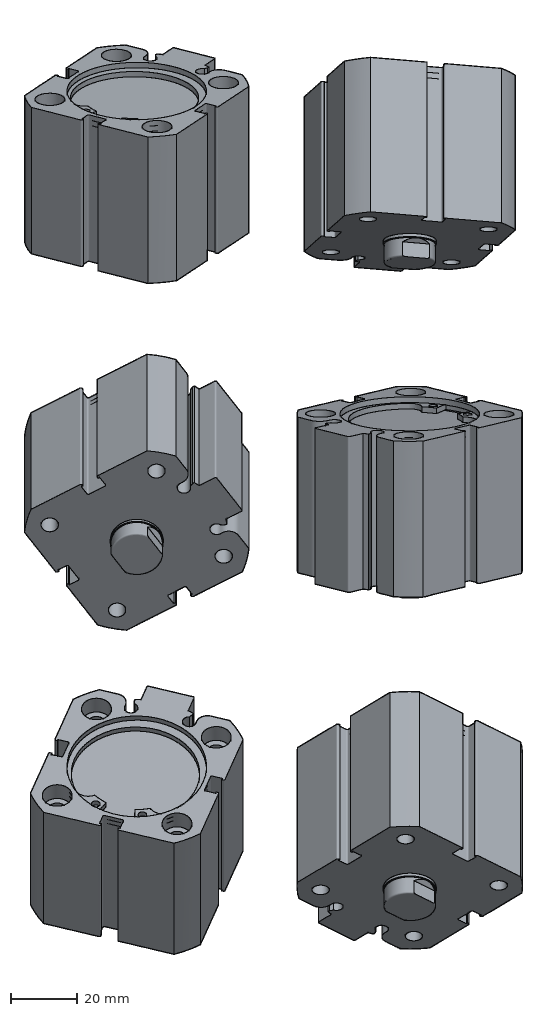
import cadquery as cq
import math

BODY_WIDTH = 54.0
BODY_LENGTH = 48.5
CORNER_RADIUS = 34.0
HALF_WIDTH = BODY_WIDTH / 2

HOLE_SPACING = 38.05
HOLE_DIAMETER = 5.2
COUNTERBORE_DIAMETER = 9.0
COUNTERBORE_DEPTH = 6.0

SLOT_DEPTH = 4.5
SLOT_WIDTH = 6.55
SLOT_OPENING = 5.4
SLOT_LIP = 0.9
LIP_RADIUS = 0.5
SLOT_FLOOR_RADIUS = 0.5

RAIL_TOP = 33.0
RAIL_WIDTH = 15.0
RAIL_EDGE_RADIUS = 0.5
SHOULDER_DROP = 0.6
SHOULDER_TIP_X = 9.25
SHOULDER_TIP_HEIGHT = 0.65
CHANNEL_LIP_X = 8.7
CHANNEL_RADIUS = 2.05
CHANNEL_X = 9.25
CHANNEL_Y = 22.7
CHANNEL_ENTRY_RADIUS = 3.5

BORE_RADIUS = 21.05
RING_RECESS = 1.8
RING_THICKNESS = 1.75
RING_OUTER_RADIUS = 22.25
RING_INNER_RADIUS = 19.4
RING_OFFSET = -1.25
COVER_THICKNESS = 6.0
LUG_INNER_RADIUS = 16.3
LUG_GAP_ANGLE = 16.2
LUG_TIP_ANGLE = 32.8
LUG_HOLE_RADIUS = 18.65
LUG_HOLE_ANGLE = 23.4
LUG_HOLE_DIAMETER = 2.6
LUG_RELIEF_END_X = 14.5
LUG_RELIEF_X = 11.9
LUG_RELIEF_Y = -15.0

ROD_DIAMETER = 16.0
ROD_END_DIAMETER = 15.55
ROD_PROTRUSION = 7.0
ROD_COLLAR = 0.95
ROD_END_RADIUS = 0.5
FLATS_WIDTH = 13.0
FLATS_START = 2.45

RING_TOP_Z = BODY_LENGTH - RING_RECESS
RING_BOTTOM_Z = RING_TOP_Z - RING_THICKNESS
COVER_BOTTOM_Z = RING_BOTTOM_Z - COVER_THICKNESS


def polar_from_minus_y(radius, angle):
    """Point at a radius from the axis and an angle in degrees from -Y towards +X."""
    turn = math.radians(angle)
    return (radius * math.sin(turn), -radius * math.cos(turn))


def disc(radius, bottom, top):
    return cq.Workplane("XY").workplane(offset=bottom).circle(radius).extrude(top - bottom)


def make_t_slot(angle):
    """T-slot cutter for the side reached by turning the -Y side by the angle."""
    lip = cq.Workplane("XY").rect(SLOT_OPENING, 2 * SLOT_DEPTH).extrude(BODY_LENGTH)
    mouth_width = SLOT_OPENING + 2 * LIP_RADIUS
    mouth = cq.Workplane("XY").rect(mouth_width, 2 * LIP_RADIUS).extrude(BODY_LENGTH)
    lip_centers = [(-mouth_width / 2, LIP_RADIUS), (mouth_width / 2, LIP_RADIUS)]
    rounds = cq.Workplane("XY").pushPoints(lip_centers).circle(LIP_RADIUS).extrude(BODY_LENGTH)
    pocket_depth = SLOT_DEPTH - SLOT_LIP
    pocket = (
        cq.Workplane("XY")
        .center(0, SLOT_LIP + pocket_depth / 2)
        .rect(SLOT_WIDTH, pocket_depth)
        .extrude(BODY_LENGTH)
        .edges("|Z and >Y")
        .fillet(SLOT_FLOOR_RADIUS)
    )
    slot = lip.union(mouth.cut(rounds)).union(pocket)
    return slot.translate((0, -HALF_WIDTH, 0)).rotate((0, 0, 0), (0, 0, 1), angle)


def make_channel():
    """Cutter for the space beside the rail on the +X side, with its round sensor channel."""
    outer_x = CHANNEL_X + CHANNEL_RADIUS
    tip_y = HALF_WIDTH - SHOULDER_DROP
    lip_y = CHANNEL_Y + math.sqrt(CHANNEL_RADIUS**2 - (CHANNEL_X - CHANNEL_LIP_X) ** 2)
    entry_y = HALF_WIDTH - CHANNEL_ENTRY_RADIUS
    entry_mid = CHANNEL_ENTRY_RADIUS * (1 - math.sqrt(0.5))
    return (
        cq.Workplane("XY")
        .moveTo(RAIL_WIDTH / 2, HALF_WIDTH)
        .lineTo(SHOULDER_TIP_X, tip_y)
        .lineTo(SHOULDER_TIP_X, tip_y - SHOULDER_TIP_HEIGHT)
        .lineTo(CHANNEL_LIP_X, lip_y)
        .threePointArc((CHANNEL_X, CHANNEL_Y - CHANNEL_RADIUS), (outer_x, CHANNEL_Y))
        .lineTo(outer_x, entry_y)
        .threePointArc(
            (outer_x + entry_mid, HALF_WIDTH - entry_mid),
            (outer_x + CHANNEL_ENTRY_RADIUS, HALF_WIDTH),
        )
        .close()
        .extrude(BODY_LENGTH)
    )


def make_housing():
    body = cq.Workplane("XY").rect(BODY_WIDTH, BODY_WIDTH).extrude(BODY_LENGTH)
    body = body.intersect(disc(CORNER_RADIUS, 0, BODY_LENGTH))

    rail = (
        cq.Workplane("XY")
        .center(0, RAIL_TOP / 2)
        .rect(RAIL_WIDTH, RAIL_TOP)
        .extrude(BODY_LENGTH)
        .edges("|Z and >Y")
        .fillet(RAIL_EDGE_RADIUS)
    )
    body = body.union(rail)
    channel = make_channel()
    body = body.cut(channel).cut(channel.mirror("YZ"))

    for angle in (-90, 0, 90):
        body = body.cut(make_t_slot(angle))

    body = (
        body.faces(">Z")
        .workplane(origin=(0, 0, BODY_LENGTH))
        .rect(HOLE_SPACING, HOLE_SPACING, forConstruction=True)
        .vertices()
        .cboreHole(HOLE_DIAMETER, COUNTERBORE_DIAMETER, COUNTERBORE_DEPTH)
    )

    body = body.cut(disc(BORE_RADIUS, COVER_BOTTOM_Z, BODY_LENGTH))
    body = body.cut(disc(RING_OUTER_RADIUS, RING_BOTTOM_Z, RING_TOP_Z))
    return body.cut(disc(ROD_DIAMETER / 2, 0, COVER_BOTTOM_Z))


def make_cover():
    return disc(BORE_RADIUS, COVER_BOTTOM_Z, RING_BOTTOM_Z)


def make_retaining_ring():
    """Open ring with two drilled lugs, its gap facing -Y."""
    lug_mid_angle = (LUG_GAP_ANGLE + LUG_TIP_ANGLE) / 2
    relief_end_y = RING_OFFSET - math.sqrt(RING_INNER_RADIUS**2 - LUG_RELIEF_END_X**2)
    ring = (
        cq.Workplane("XY")
        .workplane(offset=RING_BOTTOM_Z)
        .moveTo(*polar_from_minus_y(RING_OUTER_RADIUS, LUG_GAP_ANGLE))
        .threePointArc(
            (0, RING_OUTER_RADIUS),
            polar_from_minus_y(RING_OUTER_RADIUS, -LUG_GAP_ANGLE),
        )
        .lineTo(*polar_from_minus_y(LUG_INNER_RADIUS, -LUG_GAP_ANGLE))
        .threePointArc(
            polar_from_minus_y(LUG_INNER_RADIUS, -lug_mid_angle),
            polar_from_minus_y(LUG_INNER_RADIUS, -LUG_TIP_ANGLE),
        )
        .threePointArc((-LUG_RELIEF_X, LUG_RELIEF_Y), (-LUG_RELIEF_END_X, relief_end_y))
        .threePointArc((0, RING_OFFSET + RING_INNER_RADIUS), (LUG_RELIEF_END_X, relief_end_y))
        .threePointArc(
            (LUG_RELIEF_X, LUG_RELIEF_Y),
            polar_from_minus_y(LUG_INNER_RADIUS, LUG_TIP_ANGLE),
        )
        .threePointArc(
            polar_from_minus_y(LUG_INNER_RADIUS, lug_mid_angle),
            polar_from_minus_y(LUG_INNER_RADIUS, LUG_GAP_ANGLE),
        )
        .close()
        .extrude(RING_THICKNESS)
    )
    lug_holes = (
        cq.Workplane("XY")
        .workplane(offset=RING_BOTTOM_Z)
        .pushPoints([polar_from_minus_y(LUG_HOLE_RADIUS, side * LUG_HOLE_ANGLE) for side in (-1, 1)])
        .circle(LUG_HOLE_DIAMETER / 2)
        .extrude(RING_THICKNESS)
    )
    return ring.cut(lug_holes)


def make_rod():
    """Round rod with a slightly reduced end that carries two wrench flats with 45-degree run-outs."""
    step = (ROD_DIAMETER - ROD_END_DIAMETER) / 2
    rod = disc(ROD_DIAMETER / 2, -ROD_COLLAR - step, COVER_BOTTOM_Z).faces("<Z").chamfer(step)
    end = disc(ROD_END_DIAMETER / 2, -ROD_PROTRUSION, 0).faces("<Z").edges().fillet(ROD_END_RADIUS)
    rod = rod.union(end)

    half_flats = FLATS_WIDTH / 2
    runout_y = half_flats + FLATS_START
    flat = (
        cq.Workplane("YZ")
        .moveTo(half_flats, -ROD_PROTRUSION)
        .lineTo(half_flats, -FLATS_START)
        .lineTo(runout_y, 0)
        .lineTo(runout_y, -ROD_PROTRUSION)
        .close()
        .extrude(ROD_DIAMETER / 2, both=True)
    )
    return rod.cut(flat).cut(flat.mirror("XZ"))


housing = make_housing()
cover = make_cover()
retaining_ring = make_retaining_ring()
rod = make_rod()

result = cq.Compound.makeCompound([housing.val(), cover.val(), retaining_ring.val(), rod.val()])